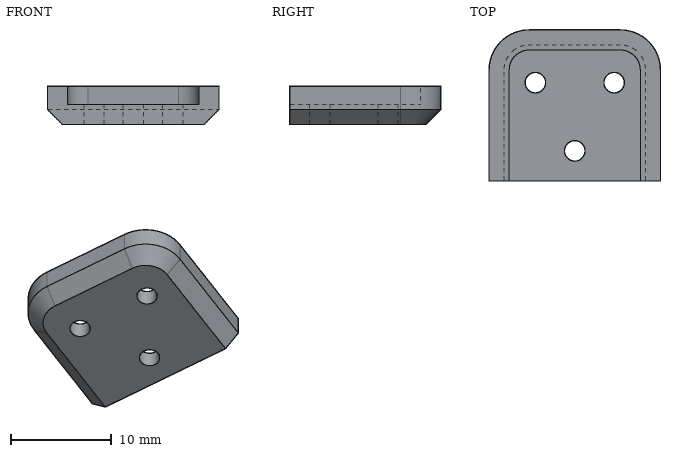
import cadquery as cq
import math

width = 17.0
depth = 15.0
height = 3.8

wall = 2.0
floor_thickness = 2.0
outer_radius = 4.0
inner_radius = outer_radius - wall
bottom_chamfer = 1.5

hole_diameter = 2.0
hole_circle_radius = 4.5
hole_count = 3
first_hole_angle = -90.0


def rounded_back_block(block_width, block_depth, block_height, radius):
    """Block with its front face on Y = 0, its base on Z = 0 and rounded back corners."""
    block = cq.Workplane("XY").box(block_width, block_depth, block_height, centered=(True, False, False))
    return block.edges("|Z and >Y").fillet(radius)


def make_body():
    """Outer block, chamfered below along both sides and the back but not the front."""
    block = rounded_back_block(width, depth, height, outer_radius)
    front_bottom_edge = cq.selectors.StringSyntaxSelector("<Y")
    bottom_edges = block.faces("<Z").edges(cq.selectors.InverseSelector(front_bottom_edge))
    return bottom_edges.chamfer(bottom_chamfer)


def make_pocket():
    """Recess above the floor, open at the front and the top."""
    pocket = rounded_back_block(width - 2 * wall, depth - wall, height - floor_thickness, inner_radius)
    return pocket.translate((0, 0, floor_thickness))


def make_holes():
    """Cylinders that pass through the floor, the first one nearest the open front."""
    centres = []
    for index in range(hole_count):
        angle = math.radians(first_hole_angle + index * 360.0 / hole_count)
        x = hole_circle_radius * math.cos(angle)
        y = depth / 2 + hole_circle_radius * math.sin(angle)
        centres.append((x, y))
    return cq.Workplane("XY").pushPoints(centres).circle(hole_diameter / 2).extrude(height)


result = make_body().cut(make_pocket()).cut(make_holes())